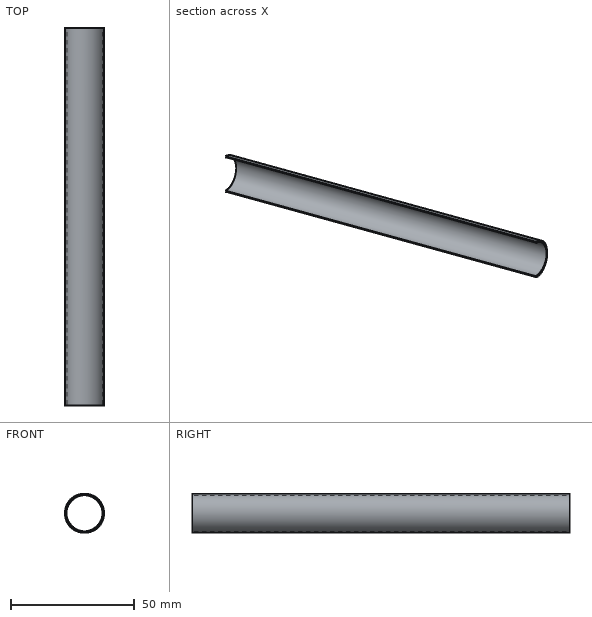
import cadquery as cq

outer_diameter = 15.875
wall_thickness = 0.7112
length = 152.4

inner_diameter = outer_diameter - 2 * wall_thickness

result = (
    cq.Workplane("XZ", origin=(0, length / 2, 0))
    .circle(outer_diameter / 2)
    .circle(inner_diameter / 2)
    .extrude(length)
)